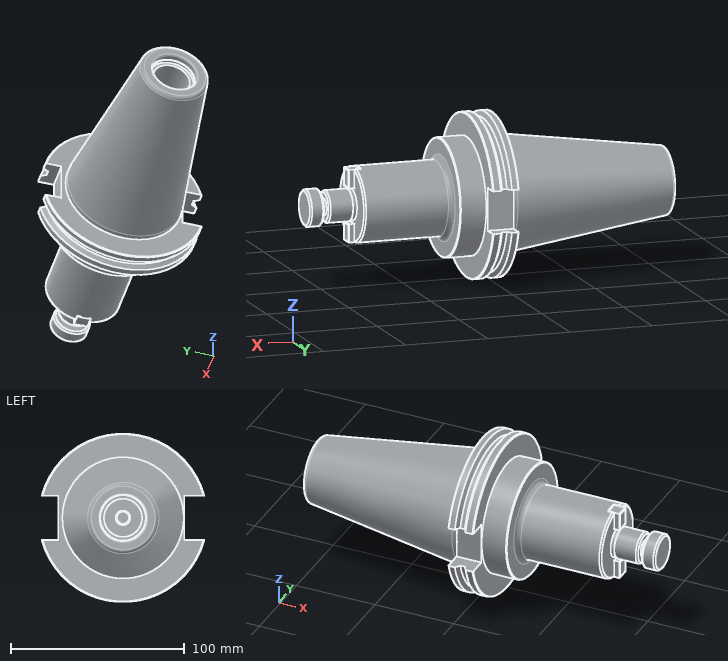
import cadquery as cq

taper_small_dia = 40.5
gauge_dia = 69.8
gauge_x = 101.7
taper_end_fillet = 2.2

flange_x = 105.0
flange_width = 15.8
flange_end_x = flange_x + flange_width
flange_dia = 97.0
flange_chamfer = 0.5
groove_x = 112.7
groove_floor_dia = 91.0
groove_floor_width = 2.9
groove_mouth_width = 6.8
slot_width = 25.3
front_slot_floor = 35.4
back_slot_floor = 37.3

collar_end_x = 136.5
collar_chamfer = 0.5
arbor_dia = 44.5
arbor_end_x = 190.6
arbor_fillet = 3.0
arbor_chamfer = 1.0
relief_dia = 18.5
relief_length = 2.5
pilot_dia = 19.0
pilot_end_x = 207.8
pilot_chamfer = 1.0

mouth_fillet = 0.7
mouth_dia = 26.8
mouth_depth = 4.2
counterbore_dia = 26.1
counterbore_depth = 6.4
bore_dia = 22.0
bore_depth = 65.9

screw_head_x = 210.8
screw_end_x = 219.6
screw_head_dia = 22.0
screw_head_chamfer = 1.0
screw_neck_dia = 10.0
screw_shank_dia = 8.3
screw_tip_chamfer = 0.7

key_width = 8.1
key_start_x = 186.7
key_end_x = 194.1
key_inner_z = 10.5
key_outer_z = 21.5
key_chamfer = 0.5


def rod(start_x, end_x, diameter):
    """Cylinder on the tool axis."""
    return cq.Workplane("YZ", origin=(start_x, 0, 0)).circle(diameter / 2).extrude(end_x - start_x)


def make_taper():
    taper = (
        cq.Workplane("YZ").circle(taper_small_dia / 2)
        .workplane(offset=gauge_x).circle(gauge_dia / 2)
        .loft(ruled=True)
    )
    return taper.faces("<X").edges().fillet(taper_end_fillet)


def make_flange():
    flange = rod(flange_x, flange_end_x, flange_dia).edges().chamfer(flange_chamfer)
    return flange.cut(make_gripper_groove()).cut(make_drive_slots())


def make_gripper_groove():
    half_floor = groove_floor_width / 2
    half_mouth = groove_mouth_width / 2
    return (
        cq.Workplane("XY")
        .polyline([
            (groove_x - half_floor, groove_floor_dia / 2),
            (groove_x + half_floor, groove_floor_dia / 2),
            (groove_x + half_mouth, flange_dia / 2),
            (groove_x - half_mouth, flange_dia / 2),
        ])
        .close()
        .revolve(360, (0, 0, 0), (1, 0, 0))
    )


def make_drive_slots():
    blank = cq.Workplane("XY").box(flange_width, flange_dia, slot_width, centered=(False, False, True))
    back_slot = blank.translate((flange_x, back_slot_floor, 0))
    front_slot = blank.translate((flange_x, -front_slot_floor - flange_dia, 0))
    return back_slot.union(front_slot)


def make_arbor():
    """Collar and arbor behind the flange, with the filleted shoulder between them."""
    collar = rod(gauge_x, collar_end_x, gauge_dia).faces(">X").edges().chamfer(collar_chamfer)
    arbor = rod(collar_end_x, arbor_end_x, arbor_dia)
    fillet_start = arbor_dia / 2 + arbor_fillet
    shoulder = (
        cq.Workplane("XY")
        .moveTo(collar_end_x, 0)
        .lineTo(collar_end_x, fillet_start)
        .radiusArc((collar_end_x + arbor_fillet, arbor_dia / 2), -arbor_fillet)
        .lineTo(collar_end_x + arbor_fillet, 0)
        .close()
        .revolve(360, (0, 0, 0), (1, 0, 0))
    )
    arbor = arbor.faces(">X").edges().chamfer(arbor_chamfer)
    return collar.union(arbor).union(shoulder)


def make_pilot():
    relief_end_x = arbor_end_x + relief_length
    relief = rod(arbor_end_x, relief_end_x, relief_dia)
    pilot = rod(relief_end_x, pilot_end_x, pilot_dia)
    return relief.union(pilot.faces(">X").edges().chamfer(pilot_chamfer))


def make_drawbar_bore():
    """Stepped blind bore whose mouth flares out with a rounded edge."""
    mouth_radius = mouth_dia / 2
    return (
        cq.Workplane("XY")
        .lineTo(0, mouth_radius + mouth_fillet)
        .radiusArc((mouth_fillet, mouth_radius), -mouth_fillet)
        .lineTo(mouth_depth, mouth_radius)
        .lineTo(mouth_depth, counterbore_dia / 2)
        .lineTo(counterbore_depth, counterbore_dia / 2)
        .lineTo(counterbore_depth, bore_dia / 2)
        .lineTo(bore_depth, bore_dia / 2)
        .lineTo(bore_depth, 0)
        .close()
        .revolve(360, (0, 0, 0), (1, 0, 0))
    )


def make_key(side):
    """Drive key above (side = 1) or below (side = -1) the pilot."""
    key = (
        cq.Workplane("XY")
        .box(key_end_x - key_start_x, key_width, key_outer_z - key_inner_z, centered=(False, True, False))
        .faces(">X").edges().chamfer(key_chamfer)
        .translate((key_start_x, 0, key_inner_z))
    )
    return key if side > 0 else key.rotate((0, 0, 0), (1, 0, 0), 180)


def make_key_slot(side):
    """Slot for one drive key, open at the arbor surface and at the arbor end."""
    slot = (
        cq.Workplane("XY")
        .box(arbor_end_x - key_start_x, key_width, arbor_dia / 2 - key_inner_z, centered=(False, True, False))
        .translate((key_start_x, 0, key_inner_z))
    )
    return slot if side > 0 else slot.rotate((0, 0, 0), (1, 0, 0), 180)


def make_holder():
    holder = make_taper().union(make_arbor()).union(make_flange()).union(make_pilot())
    holder = holder.cut(make_drawbar_bore()).cut(rod(bore_depth, pilot_end_x, screw_shank_dia))
    for side in (1, -1):
        holder = holder.cut(make_key_slot(side))
    return holder


def make_screw():
    shank = rod(bore_depth, pilot_end_x, screw_shank_dia).faces("<X").edges().chamfer(screw_tip_chamfer)
    neck = rod(pilot_end_x, screw_head_x, screw_neck_dia)
    head = rod(screw_head_x, screw_end_x, screw_head_dia).edges().chamfer(screw_head_chamfer)
    return shank.union(neck).union(head)


holder = make_holder()
screw = make_screw()
keys = [make_key(side) for side in (1, -1)]

result = cq.Compound.makeCompound([holder.val(), screw.val(), *[key.val() for key in keys]])